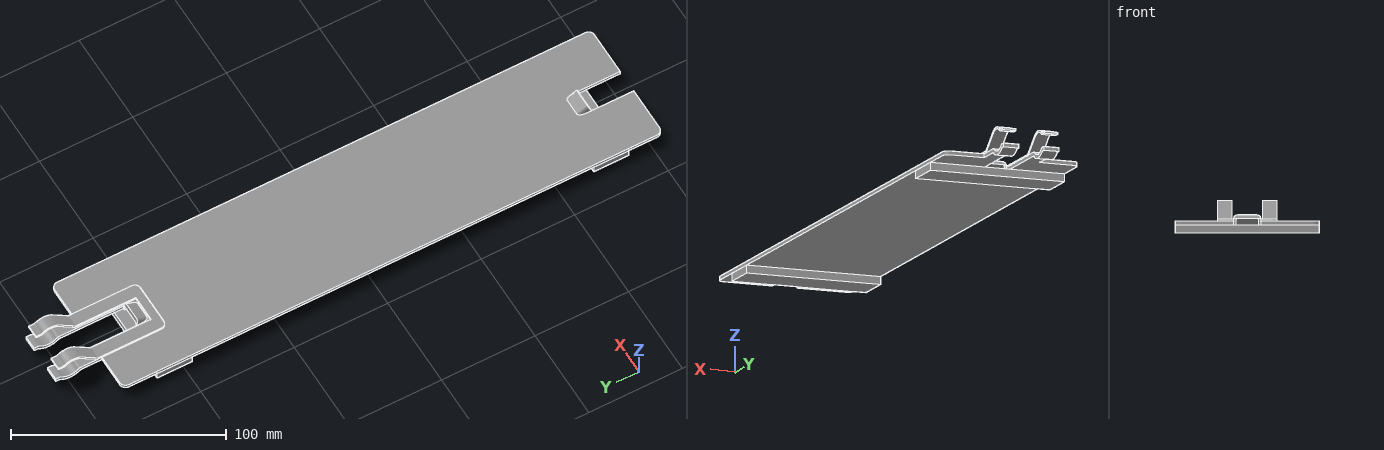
import cadquery as cq
import math

plate_width = 66.8
plate_length = 289.0
plate_thickness = 2.0
plate_corner_radius = 3.0
total_length = 313.5

slot_width = 12.5
slot_depth = 23.8

pad_length = 18.8
pad_height = 3.8
pad_inset = 18.2

louvre_length = 5.5
louvre_height = 2.8
louvre_wall = 1.0
louvre_outer_radius = 2.0
louvre_inner_radius = 1.0

clip_thickness = 1.0
clip_outer_width = 27.5
clip_inner_width = 14.0
clip_base_width = 4.7
clip_corner_radius = 3.0
clip_base_y = 254.0
clip_bend_y = 290.7

arm_bend_radius = 1.0
arm_slope_angle = 38.5
arm_slope_length = 11.0
arm_crest_radius = 7.0
arm_lip_angle = 41.0
arm_lip_length = 2.8

jaw_bend_radius = 1.5
jaw_dip_radius = 7.5
jaw_angle = 38.0
jaw_slope_length = 0.3
jaw_tip_length = 2.0

plate_bottom = pad_height
plate_top = plate_bottom + plate_thickness
louvre_base_y = slot_depth + louvre_length
root_length = 3.0


def to_far_end(shape):
    """Mirror a shape to the other end of the plate."""
    return shape.mirror("XZ").translate((0, plate_length, 0))


def strip_faces(point, heading, half_thickness):
    """Return the upper and lower face points square to a centre-line point."""
    y, z = point
    offset_y = -half_thickness * math.sin(heading)
    offset_z = half_thickness * math.cos(heading)
    return (y + offset_y, z + offset_z), (y - offset_y, z - offset_z)


def bend_point(centre, radius, heading):
    """Return where a bend runs in the given heading; the radius is negative for a downward bend."""
    return centre[0] + radius * math.sin(heading), centre[1] - radius * math.cos(heading)


def trace(outline, steps):
    """Continue an outline through (middle, end) steps, straight where there is no middle."""
    for middle, end in steps:
        outline = outline.threePointArc(middle, end) if middle else outline.lineTo(*end)
    return outline


def bent_strip(start, moves, thickness, width):
    """A strip of constant thickness bent in the YZ plane, starting in +Y at its centre line.

    Each move is (length,) for a straight run or (radius, angle) for a bend;
    a positive angle turns the strip upwards. The width is centred on X = 0.
    """
    half = thickness / 2
    point = start
    heading = 0.0
    upper_start, lower_start = strip_faces(point, heading, half)
    upper_steps = []
    lower_middles = []
    lower_points = [lower_start]
    for move in moves:
        upper_middle, lower_middle = None, None
        if len(move) == 1:
            length = move[0]
            point = (point[0] + length * math.cos(heading), point[1] + length * math.sin(heading))
        else:
            turn = math.radians(move[1])
            radius = math.copysign(move[0], turn)
            centre = bend_point(point, -radius, heading)
            middle_heading = heading + turn / 2
            middle = bend_point(centre, radius, middle_heading)
            upper_middle, lower_middle = strip_faces(middle, middle_heading, half)
            heading += turn
            point = bend_point(centre, radius, heading)
        upper_end, lower_end = strip_faces(point, heading, half)
        upper_steps.append((upper_middle, upper_end))
        lower_middles.append(lower_middle)
        lower_points.append(lower_end)

    steps_back = zip(reversed(lower_middles), reversed(lower_points[:-1]))
    outline = cq.Workplane("YZ", origin=(-width / 2, 0, 0)).moveTo(*upper_start)
    outline = trace(outline, upper_steps).lineTo(*lower_points[-1])
    return trace(outline, steps_back).close().extrude(width)


def add_arms(body, start, moves, thickness, gap):
    """Join a bent arm to a body on each side of a gap."""
    width = (clip_outer_width - gap) / 2
    arm = bent_strip(start, moves, thickness, width)
    for side in (-1, 1):
        body = body.union(arm.translate((side * (gap + width) / 2, 0, 0)))
    return body


def make_slot():
    return (
        cq.Workplane("XY", origin=(0, 0, plate_bottom))
        .rect(slot_width, 2 * slot_depth)
        .extrude(plate_thickness)
    )


def round_roof(body, radius):
    """Round the two long edges where the sloping roof meets the side walls."""
    roof_direction = cq.Vector(0, louvre_height, louvre_length)
    roof = body.faces(cq.DirectionMinMaxSelector(roof_direction))
    return roof.edges("not(|X)").fillet(radius)


def make_louvre():
    """Return the outside of a louvre and the hollow under it, both open towards -Y."""
    slope = math.atan2(louvre_height, louvre_length)
    crest = (slot_depth, plate_top + louvre_height)
    mouth = (
        crest[0] - plate_thickness * math.sin(slope),
        crest[1] - plate_thickness * math.cos(slope),
    )
    floor_y = mouth[0] + (mouth[1] - plate_bottom) / math.tan(slope)

    outside = (
        cq.Workplane("YZ", origin=(-slot_width / 2, 0, 0))
        .polyline(
            [
                (mouth[0], plate_bottom),
                mouth,
                crest,
                (louvre_base_y, plate_top),
                (louvre_base_y, plate_bottom),
            ]
        )
        .close()
        .extrude(slot_width)
    )
    hollow_width = slot_width - 2 * louvre_wall
    hollow = (
        cq.Workplane("YZ", origin=(-hollow_width / 2, 0, 0))
        .polyline([(mouth[0], plate_bottom), mouth, (floor_y, plate_bottom)])
        .close()
        .extrude(hollow_width)
    )
    return round_roof(outside, louvre_outer_radius), round_roof(hollow, louvre_inner_radius)


def make_plate():
    plate = (
        cq.Workplane("XY", origin=(0, plate_length / 2, plate_bottom))
        .rect(plate_width, plate_length)
        .extrude(plate_thickness)
        .edges("|Z")
        .fillet(plate_corner_radius)
    )
    slot = make_slot()
    louvre, hollow = make_louvre()
    plate = plate.cut(slot).cut(to_far_end(slot))
    for shape in (louvre, to_far_end(louvre)):
        plate = plate.union(shape)
    for shape in (hollow, to_far_end(hollow)):
        plate = plate.cut(shape)

    bends_reach = 2 * (jaw_bend_radius + jaw_dip_radius) * math.sin(math.radians(jaw_angle))
    slopes_reach = 2 * jaw_slope_length * math.cos(math.radians(jaw_angle))
    root_y = plate_length - root_length
    straight_length = total_length - root_y - bends_reach - slopes_reach - jaw_tip_length
    return add_arms(
        plate,
        (root_y, plate_bottom + plate_thickness / 2),
        [
            (straight_length,),
            (jaw_bend_radius, -jaw_angle),
            (jaw_slope_length,),
            (jaw_dip_radius, 2 * jaw_angle),
            (jaw_slope_length,),
            (jaw_bend_radius, -jaw_angle),
            (jaw_tip_length,),
        ],
        plate_thickness,
        slot_width,
    )


def make_clip():
    length = clip_bend_y - clip_base_y
    base = (
        cq.Workplane("XY", origin=(0, clip_base_y + length / 2, plate_top))
        .rect(clip_outer_width, length)
        .extrude(clip_thickness)
        .edges("|Z and <Y")
        .fillet(clip_corner_radius)
    )
    opening = (
        cq.Workplane("XY", origin=(0, clip_base_y + clip_base_width + length / 2, plate_top))
        .rect(clip_inner_width, length)
        .extrude(clip_thickness)
    )
    return add_arms(
        base.cut(opening),
        (clip_bend_y - root_length, plate_top + clip_thickness / 2),
        [
            (root_length,),
            (arm_bend_radius, arm_slope_angle),
            (arm_slope_length,),
            (arm_crest_radius, -arm_slope_angle - arm_lip_angle),
            (arm_bend_radius, arm_lip_angle),
            (arm_lip_length,),
        ],
        clip_thickness,
        clip_inner_width,
    )


def make_pad():
    return (
        cq.Workplane("XY", origin=(0, pad_inset + pad_length / 2, 0))
        .rect(plate_width, pad_length)
        .extrude(pad_height)
    )


plate = make_plate()
clip = make_clip()
near_pad = make_pad()
pads = [near_pad, to_far_end(near_pad)]

result = cq.Compound.makeCompound([plate.val(), clip.val(), *[pad.val() for pad in pads]])